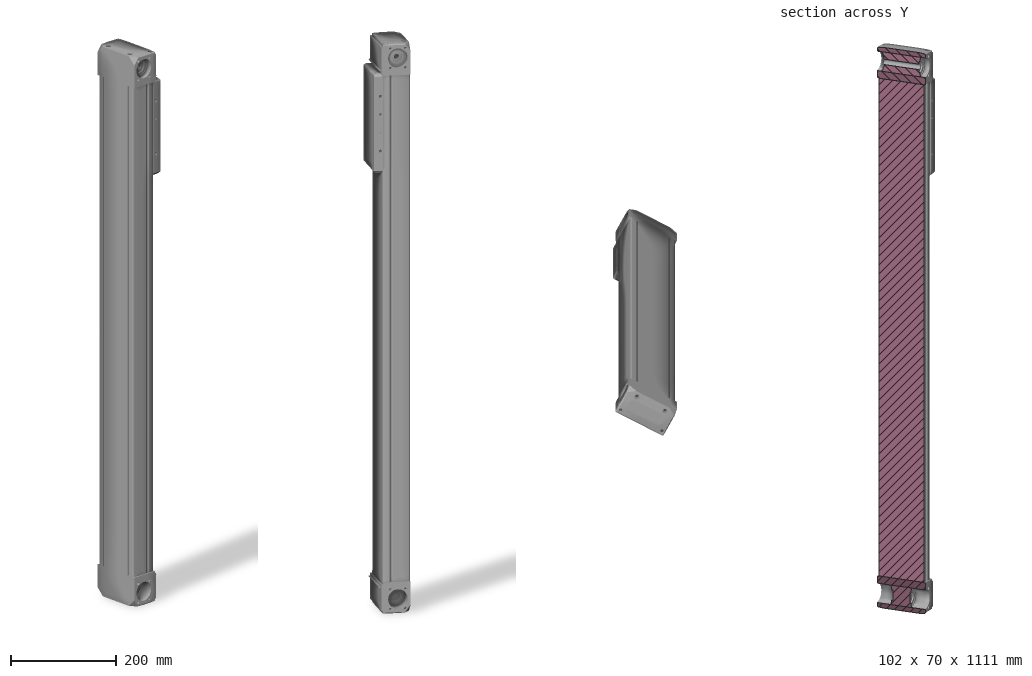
import cadquery as cq
import math


total_length = 1111.0
cap_length = 62.0
profile_length = total_length - 2 * cap_length

profile_width = 97.0
profile_depth = 53.0
profile_half = profile_width / 2
front_edge_fillet = 3.0
side_flat_start = 13.0
front_taper = 0.5
side_flat_end = 40.0
shoulder_inset = 2.0
shoulder_bulge = 0.5
side_groove_width = 7.0
side_groove_depth = 3.0
front_groove_width = 3.0
front_groove_depth = 2.0
front_groove_x = 34.0

cap_width = 102.0
cap_half = cap_width / 2
back_pad_height = 3.0
back_pad_end_gap = 7.0
back_pad_joint_gap = 4.0
side_edge_chamfer = 3.0
corner_cut_edge = 17.0
corner_cut_depth = 12.0
plateau_length = 77.0
plateau_width = 23.0
plateau_y = 29.0
plateau_slope = 5.5
slope_reach = 27.0
end_screw_head_diameter = 10.2
front_screw_x = 30.0
front_screw_y = 9.0
back_screw_x = 44.0
back_screw_y = 48.0
end_screw_head_depth = 3.0
end_screw_hole_diameter = 6.0
end_screw_hole_depth = 10.0
lip_width = 95.0
lip_height = 3.0
lip_thickness = 1.7
lip_from_end = 53.0

bore_diameter = 38.0
bore_y = 24.0
bore_from_end = 29.0
flange_hole_diameter = 4.9
flange_hole_depth = 10.0
flange_hole_dy = 14.0
flange_hole_dz = 19.0

drive_pulley_recess = 10.0
idler_pulley_recess = 29.0
face_recess_diameter = 32.0
face_recess_depth = 1.0
hub_recess_diameter = 20.0
hub_recess_depth = 3.0
shaft_bore_diameter = 10.0

carriage_width = 98.0
carriage_depth = 17.0
carriage_length = 193.0
carriage_bottom_z = 859.0
carriage_side_chamfer = 5.0
carriage_back_chamfer = 3.0
side_hole_pitch = 35.0
side_hole_diameters = [6.0, 2.4, 4.9, 6.0]
side_hole_depth = 7.0
side_hole_y = 58.0


def block(width, depth, height, y=0.0, z=0.0):
    """Box centred on X, starting at the given Y and Z."""
    return cq.Workplane("XY").box(width, depth, height, centered=(True, False, False)).translate((0, y, z))


def x_cylinder(diameter, x_start, length, y, z):
    """Cylinder along +X starting at x_start."""
    return cq.Workplane("YZ", origin=(x_start, y, z)).circle(diameter / 2).extrude(length)


def both_sides(shape):
    """The shape together with its mirror image in the YZ plane."""
    return shape.union(shape.mirror("YZ"))


def make_profile():
    """Half outline with a V groove at the foot of a bulged shoulder, mirrored about the YZ plane."""
    shoulder_x = profile_half - shoulder_inset
    shoulder_mid = (profile_half - shoulder_inset / 2 + shoulder_bulge, (side_flat_end + profile_depth) / 2)
    half = (
        cq.Workplane("XY", origin=(0, 0, cap_length))
        .moveTo(0, 0)
        .lineTo(profile_half - front_taper, 0)
        .lineTo(profile_half, side_flat_start)
        .lineTo(profile_half, side_flat_end - side_groove_width)
        .lineTo(profile_half - side_groove_depth, side_flat_end - side_groove_width / 2)
        .lineTo(profile_half, side_flat_end)
        .threePointArc(shoulder_mid, (shoulder_x, profile_depth))
        .lineTo(0, profile_depth)
        .close()
        .extrude(profile_length)
    )
    front_edge = cq.selectors.NearestToPointSelector((profile_half, 0, total_length / 2))
    half = half.edges("|Z").edges(front_edge).fillet(front_edge_fillet)
    front_groove = block(front_groove_width, front_groove_depth, profile_length, 0, cap_length).translate(
        (front_groove_x, 0, 0)
    )
    return both_sides(half.cut(front_groove))


def sloped_end_envelope():
    """Space below the cap's end: a slot-shaped plateau with gently falling flanks."""
    drop = slope_reach * math.tan(math.radians(plateau_slope))
    flanks = (
        cq.Workplane("XY", origin=(0, plateau_y, cap_length - drop))
        .slot2D(plateau_length + 2 * slope_reach, plateau_width + 2 * slope_reach)
        .extrude(drop, taper=90 - plateau_slope)
    )
    return block(2 * cap_width, 4 * profile_depth, cap_length - drop, -profile_depth).union(flanks)


def corner_cut():
    """Tetrahedron that cuts the front corner at +X."""
    corner = cq.Vector(cap_half, 0, cap_length)
    x_point = corner - cq.Vector(corner_cut_edge, 0, 0)
    y_point = corner + cq.Vector(0, corner_cut_depth, 0)
    z_point = corner - cq.Vector(0, 0, corner_cut_edge)
    triangles = [
        (corner, x_point, y_point),
        (corner, y_point, z_point),
        (corner, z_point, x_point),
        (x_point, z_point, y_point),
    ]
    faces = [cq.Face.makeFromWires(cq.Wire.makePolygon(points, close=True)) for points in triangles]
    return cq.Workplane(cq.Solid.makeSolid(cq.Shell.makeShell(faces)))


def make_cap():
    """Upper cap with its joint face at Z = 0."""
    bore_z = cap_length - bore_from_end
    cap = block(cap_width, profile_depth, cap_length)
    cap = cap.edges(">Z and |Y").chamfer(side_edge_chamfer)
    cap = cap.intersect(sloped_end_envelope())
    cap = cap.cut(both_sides(corner_cut()))

    pad_length = cap_length - back_pad_end_gap - back_pad_joint_gap
    back_pad = block(cap_width, back_pad_height, pad_length, profile_depth, back_pad_joint_gap)
    pad_face_y = profile_depth + back_pad_height
    lip = block(lip_width, lip_height, lip_thickness, pad_face_y, cap_length - lip_from_end)
    cap = cap.union(back_pad).union(lip)

    bore = x_cylinder(bore_diameter, -cap_half, cap_width, bore_y, bore_z)
    cap = cap.cut(bore)

    for y_side in (-1, 1):
        for z_side in (-1, 1):
            flange_hole = x_cylinder(
                flange_hole_diameter,
                cap_half - flange_hole_depth,
                flange_hole_depth,
                bore_y + y_side * flange_hole_dy,
                bore_z + z_side * flange_hole_dz,
            )
            cap = cap.cut(both_sides(flange_hole))

    screw_points = [(front_screw_x, front_screw_y), (back_screw_x, back_screw_y)]
    screw_places = cq.Workplane("XY", origin=(0, 0, cap_length)).pushPoints(
        [(side * x, y) for side in (-1, 1) for x, y in screw_points]
    )
    screw_heads = screw_places.circle(end_screw_head_diameter / 2).extrude(-end_screw_head_depth)
    screw_holes = screw_places.circle(end_screw_hole_diameter / 2).extrude(-end_screw_hole_depth)
    return cap.cut(screw_heads).cut(screw_holes)


def make_pulley(recess, z):
    """Pulley filling the cap bore, set back from both cap sides, with stepped recesses in its faces."""
    half_length = cap_half - recess
    pulley = x_cylinder(bore_diameter, -half_length, 2 * half_length, bore_y, z)
    for diameter, depth in (
        (face_recess_diameter, face_recess_depth),
        (hub_recess_diameter, hub_recess_depth),
    ):
        face_cut = x_cylinder(diameter, half_length - depth, depth, bore_y, z)
        pulley = pulley.cut(both_sides(face_cut))
    return pulley


def make_drive_pulley():
    """Upper pulley, with a through bore for the motor shaft."""
    z = total_length - bore_from_end
    shaft_bore = x_cylinder(shaft_bore_diameter, -cap_half, cap_width, bore_y, z)
    return make_pulley(drive_pulley_recess, z).cut(shaft_bore)


def make_idler_pulley():
    """Lower pulley, without a shaft bore."""
    return make_pulley(idler_pulley_recess, bore_from_end)


def make_carriage():
    """Chamfered block with a row of holes along each side."""
    carriage = block(carriage_width, carriage_depth, carriage_length, profile_depth, carriage_bottom_z)
    carriage = carriage.edges("|Y").chamfer(carriage_side_chamfer)
    carriage = carriage.edges("|X and >Y").chamfer(carriage_back_chamfer)
    middle_z = carriage_bottom_z + carriage_length / 2
    for index, diameter in enumerate(side_hole_diameters):
        z = middle_z + (index - (len(side_hole_diameters) - 1) / 2) * side_hole_pitch
        hole = x_cylinder(diameter, carriage_width / 2 - side_hole_depth, side_hole_depth, side_hole_y, z)
        carriage = carriage.cut(both_sides(hole))
    return carriage


profile = make_profile()
cap_at_origin = make_cap()
upper_cap = cap_at_origin.translate((0, 0, total_length - cap_length))
lower_cap = cap_at_origin.mirror("XY").translate((0, 0, cap_length))
drive_pulley = make_drive_pulley()
idler_pulley = make_idler_pulley()
carriage = make_carriage()

bodies = [profile, upper_cap, lower_cap, drive_pulley, idler_pulley, carriage]
result = cq.Compound.makeCompound([body.val() for body in bodies])